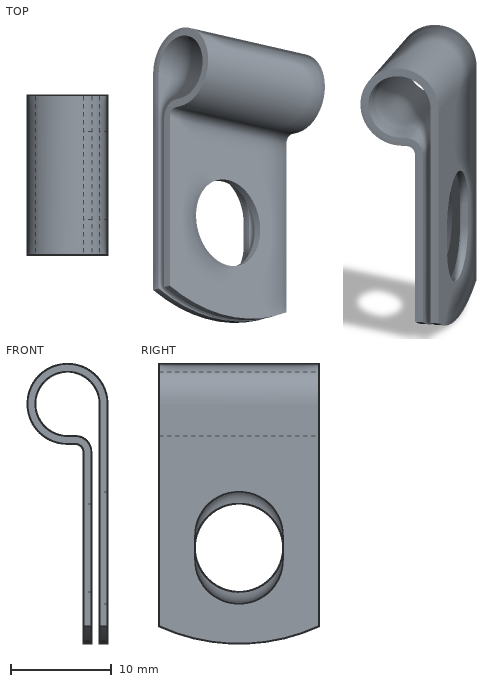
import cadquery as cq

thickness = 0.813
loop_inner_diameter = 6.35
width = 15.88
height = 27.79
leg_gap = 0.79
bend_inner_radius = 0.79
hole_diameter = 8.73
slot_length = 11.11
hole_drop = 14.27
end_radius = 19.05

loop_inner_radius = loop_inner_diameter / 2
loop_outer_radius = loop_inner_radius + thickness
bottom_z = loop_outer_radius - height
front_leg_right = loop_inner_radius - leg_gap
front_leg_left = front_leg_right - thickness
gap_middle_x = loop_inner_radius - leg_gap / 2
bend_outer_radius = bend_inner_radius + thickness
bend_center_x = front_leg_left - bend_inner_radius
bend_center_z = -loop_outer_radius - bend_inner_radius


def make_strip():
    """Bent strip: straight back leg, loop, reverse bend and front leg."""
    profile = (
        cq.Workplane("XZ")
        .moveTo(loop_outer_radius, bottom_z)
        .lineTo(loop_outer_radius, 0)
        .threePointArc((0, loop_outer_radius), (-loop_outer_radius, 0))
        .radiusArc((0, -loop_outer_radius), -loop_outer_radius)
        .lineTo(bend_center_x, -loop_outer_radius)
        .radiusArc((front_leg_left, bend_center_z), bend_inner_radius)
        .lineTo(front_leg_left, bottom_z)
        .lineTo(front_leg_right, bottom_z)
        .lineTo(front_leg_right, bend_center_z)
        .radiusArc((bend_center_x, -loop_inner_radius), -bend_outer_radius)
        .lineTo(0, -loop_inner_radius)
        .radiusArc((-loop_inner_radius, 0), loop_inner_radius)
        .threePointArc((0, loop_inner_radius), (loop_inner_radius, 0))
        .lineTo(loop_inner_radius, bottom_z)
        .close()
    )
    return profile.extrude(width / 2, both=True)


def make_end_envelope():
    """Prism along X whose lower edge is the arc that rounds both leg ends."""
    half_width = width / 2
    end_center_z = bottom_z + end_radius
    corner_z = end_center_z - (end_radius**2 - half_width**2) ** 0.5
    outline = (
        cq.Workplane("YZ")
        .moveTo(-half_width, loop_outer_radius)
        .lineTo(-half_width, corner_z)
        .threePointArc((0, bottom_z), (half_width, corner_z))
        .lineTo(half_width, loop_outer_radius)
        .close()
    )
    return outline.extrude(loop_outer_radius, both=True)


def make_round_hole():
    """Cutter for the round mounting hole, reaching from the gap through the front leg."""
    return (
        cq.Workplane("YZ", origin=(gap_middle_x, 0, -hole_drop))
        .circle(hole_diameter / 2)
        .extrude(-loop_outer_radius)
    )


def make_slot():
    """Cutter for the upright slot, reaching from the gap through the back leg."""
    return (
        cq.Workplane("YZ", origin=(gap_middle_x, 0, -hole_drop))
        .slot2D(slot_length, hole_diameter, 90)
        .extrude(loop_outer_radius)
    )


strip = make_strip().intersect(make_end_envelope())
result = strip.cut(make_round_hole()).cut(make_slot())